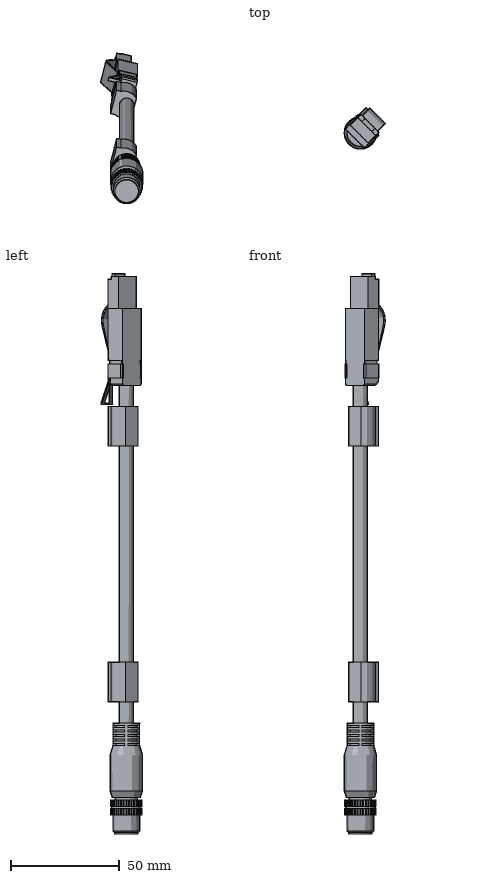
import cadquery as cq

LATCH_DIRECTION = 45.0

CABLE_RADIUS = 3.4
CABLE_BOTTOM = 2.5
CABLE_TOP = 219.5

BODY_RADIUS = 7.5
BODY_BOTTOM = 20.0
BODY_TOP = 36.5
BODY_LOWER_RADIUS = 6.5
NECK_RADIUS = 5.2
NECK_TOP = 16.8
RING_RADIUS = 7.2
RING_BOTTOM = 8.8
RING_TOP = 15.7
RING_GROOVE_WIDTH = 0.8
KNURL_DEPTH = 0.4
KNURL_COUNT = 36
TUBE_RADIUS = 6.2
TUBE_BOTTOM = 1.5
TIP_RADIUS = 5.5

RELIEF_BOTTOM = 40.8
RELIEF_TOP = 51.0
RELIEF_RADIUS = 6.2
RELIEF_CORE_RADIUS = 5.0
RIDGE_COUNT = 5
RIDGE_HEIGHT = 1.0
STRIP_WIDTH = 1.5

SLEEVE_LENGTH = 18.3
SLEEVE_BOTTOMS = (61.0, 178.5)
SLEEVE_FRONT = -3.5
SLEEVE_BACK = 6.2
SLEEVE_HALF_WIDTH = 5.7
SLEEVE_FACE_HALF_WIDTH = 4.1
SLEEVE_FLANK_START = 4.1
SLEEVE_BULGE_PLACE = -1.5
SLEEVE_BULGE_HALF_WIDTH = 5.7

HOUSING_FRONT = -3.5
HOUSING_BACK = 5.7
HOUSING_WIDTH = 12.5
HOUSING_BOTTOM = 206.5
HOUSING_TOP = 242.0
BACK_CHAMFER = 2.0
SIDE_CHAMFER = 0.8
GRIP_FRONT = -3.0
GRIP_BACK = 5.2
GRIP_WIDTH = 13.7
FRONT_FACE_WIDTH = 11.0
GRIP_BOTTOM = 210.0
GRIP_TOP = 216.5
GROOVE_HEIGHT = 1.5
GROOVE_DEPTH = 0.5

NOSE_FRONT = -0.8
NOSE_BACK = 6.2
NOSE_WIDTH = 11.5
NOSE_STEP = 4.1
NOSE_BACK_TOP = 255.5
NOSE_FRONT_TOP = 256.8
TONGUE_WIDTH = 6.5
TONGUE_TOP = 258.1

LATCH_WIDTH = 10.0
LATCH_CREST = 11.0
LATCH_CREST_HEIGHT = 237.5
LATCH_SHOULDER = 10.8
LATCH_SHOULDER_HEIGHT = 234.0
LATCH_BOTTOM = 219.2
LATCH_TOP = 244.2
LATCH_THICKNESS = 1.0

HOOK_SIDE = 5.0
HOOK_WIDTH = 1.5
HOOK_INNER = 4.1
HOOK_OUTER = 10.0
HOOK_BOTTOM = 197.7
HOOK_TOP = 209.5
HOOK_LEG = 0.8


def cylinder(radius, bottom, top):
    return cq.Workplane("XY").workplane(offset=bottom).circle(radius).extrude(top - bottom)


def block(front, back, width, bottom, top):
    """Box between two X positions, centred on Y."""
    return cq.Workplane("XY").box(
        back - front, width, top - bottom, centered=(False, True, False)
    ).translate((front, 0, bottom))


def connector_body():
    """Turned core of the M12 connector, from the contact end to the bend relief."""
    outline = [
        (0, 0),
        (TIP_RADIUS, 0),
        (TIP_RADIUS, TUBE_BOTTOM / 2),
        (TUBE_RADIUS, TUBE_BOTTOM),
        (TUBE_RADIUS, RING_BOTTOM),
        (NECK_RADIUS, RING_BOTTOM),
        (NECK_RADIUS, NECK_TOP),
        (BODY_LOWER_RADIUS, NECK_TOP),
        (BODY_RADIUS, BODY_BOTTOM),
        (BODY_RADIUS, BODY_TOP),
        (RELIEF_RADIUS, RELIEF_BOTTOM),
        (0, RELIEF_BOTTOM),
    ]
    return cq.Workplane("XZ").polyline(outline).close().revolve(360, (0, 0, 0), (0, 1, 0))


def knurled_ring():
    ring = cylinder(RING_RADIUS, RING_BOTTOM, RING_TOP)
    notches = (
        cq.Workplane("XY")
        .workplane(offset=RING_BOTTOM)
        .polarArray(RING_RADIUS, 0, 360, KNURL_COUNT)
        .circle(KNURL_DEPTH)
        .extrude(RING_TOP - RING_BOTTOM)
    )
    middle = (RING_BOTTOM + RING_TOP) / 2
    groove = (
        cq.Workplane("XY")
        .workplane(offset=middle - RING_GROOVE_WIDTH / 2)
        .circle(RING_RADIUS + KNURL_DEPTH)
        .circle(RING_RADIUS - KNURL_DEPTH)
        .extrude(RING_GROOVE_WIDTH)
    )
    return ring.cut(notches).cut(groove)


def bend_relief():
    """Core with evenly spaced ridges, tied together by four lengthwise strips."""
    relief = cylinder(RELIEF_CORE_RADIUS, RELIEF_BOTTOM, RELIEF_TOP)
    pitch = (RELIEF_TOP - RELIEF_BOTTOM) / RIDGE_COUNT
    for index in range(RIDGE_COUNT):
        top = RELIEF_TOP - index * pitch
        relief = relief.union(cylinder(RELIEF_RADIUS, top - RIDGE_HEIGHT, top))
    cross = block(-RELIEF_RADIUS, RELIEF_RADIUS, STRIP_WIDTH, RELIEF_BOTTOM, RELIEF_TOP)
    cross = cross.union(cross.rotate((0, 0, 0), (0, 0, 1), 90))
    strips = cross.intersect(cylinder(RELIEF_RADIUS, RELIEF_BOTTOM, RELIEF_TOP))
    return relief.union(strips).rotate((0, 0, 0), (0, 0, 1), -LATCH_DIRECTION)


def sleeve(bottom):
    """Label sleeve: flat front face, rounded flanks and a square back."""
    return (
        cq.Workplane("XY")
        .workplane(offset=bottom)
        .moveTo(SLEEVE_FRONT, -SLEEVE_FACE_HALF_WIDTH)
        .lineTo(SLEEVE_FRONT, SLEEVE_FACE_HALF_WIDTH)
        .threePointArc(
            (SLEEVE_BULGE_PLACE, SLEEVE_BULGE_HALF_WIDTH), (SLEEVE_FLANK_START, SLEEVE_HALF_WIDTH)
        )
        .lineTo(SLEEVE_BACK, SLEEVE_HALF_WIDTH)
        .lineTo(SLEEVE_BACK, -SLEEVE_HALF_WIDTH)
        .lineTo(SLEEVE_FLANK_START, -SLEEVE_HALF_WIDTH)
        .threePointArc(
            (SLEEVE_BULGE_PLACE, -SLEEVE_BULGE_HALF_WIDTH), (SLEEVE_FRONT, -SLEEVE_FACE_HALF_WIDTH)
        )
        .close()
        .extrude(SLEEVE_LENGTH)
    )


def housing():
    """Plug housing with raised side grips and a recessed band just above them."""
    shell = block(HOUSING_FRONT, HOUSING_BACK, HOUSING_WIDTH, HOUSING_BOTTOM, HOUSING_TOP)
    shell = shell.faces("<Z").edges(">X").chamfer(BACK_CHAMFER)
    shell = shell.faces("<Z").edges("|X").chamfer(SIDE_CHAMFER)
    band = block(GRIP_FRONT, HOUSING_BACK, HOUSING_WIDTH, GRIP_BOTTOM, GRIP_TOP + GROOVE_HEIGHT)
    band_core = block(
        GRIP_FRONT,
        HOUSING_BACK - GROOVE_DEPTH,
        HOUSING_WIDTH - 2 * GROOVE_DEPTH,
        GRIP_BOTTOM,
        GRIP_TOP + GROOVE_HEIGHT,
    )
    seats = block(HOUSING_FRONT, GRIP_FRONT, HOUSING_WIDTH, GRIP_BOTTOM, GRIP_TOP).cut(
        block(HOUSING_FRONT, GRIP_FRONT, FRONT_FACE_WIDTH, GRIP_BOTTOM, GRIP_TOP)
    )
    grips = block(GRIP_FRONT, GRIP_BACK, GRIP_WIDTH, GRIP_BOTTOM, GRIP_TOP)
    return shell.cut(band.cut(band_core)).cut(seats).union(grips)


def nose():
    """Plug nose stepped at its end, with the root of the latch as a tongue."""
    back = block(NOSE_FRONT, NOSE_BACK, NOSE_WIDTH, HOUSING_TOP, NOSE_BACK_TOP)
    front = block(NOSE_FRONT, NOSE_STEP, NOSE_WIDTH, HOUSING_TOP, NOSE_FRONT_TOP)
    tongue = block(NOSE_STEP, NOSE_BACK, TONGUE_WIDTH, HOUSING_TOP, TONGUE_TOP)
    return back.union(front).union(tongue)


def latch():
    """Thin lever bowed away from the housing and joined to it at both ends."""

    def bow(inset):
        return (
            cq.Workplane("XZ")
            .moveTo(NOSE_STEP, LATCH_BOTTOM + inset)
            .lineTo(HOUSING_BACK, LATCH_BOTTOM + inset)
            .lineTo(LATCH_SHOULDER - inset, LATCH_SHOULDER_HEIGHT)
            .threePointArc(
                (LATCH_CREST - inset, LATCH_CREST_HEIGHT), (HOUSING_BACK, LATCH_TOP - inset)
            )
            .lineTo(NOSE_STEP, LATCH_TOP - inset)
            .close()
            .extrude(LATCH_WIDTH / 2, both=True)
        )

    return bow(0).cut(bow(LATCH_THICKNESS))


def hook():
    """Slender triangular loop beside the cable."""
    outer = [
        (HOOK_INNER, HOOK_BOTTOM),
        (HOOK_OUTER, HOOK_BOTTOM),
        (HOOK_OUTER, HOOK_BOTTOM + HOOK_LEG),
        (HOOK_INNER + HOOK_LEG, HOOK_TOP),
        (HOOK_INNER, HOOK_TOP),
    ]
    inner = [
        (HOOK_INNER + HOOK_LEG, HOOK_BOTTOM + HOOK_LEG),
        (HOOK_OUTER - HOOK_LEG, HOOK_BOTTOM + HOOK_LEG),
        (HOOK_INNER + HOOK_LEG, HOOK_TOP - 2 * HOOK_LEG),
    ]
    loop = cq.Workplane("XZ").polyline(outer).close().polyline(inner).close().extrude(-HOOK_WIDTH)
    return loop.translate((0, HOOK_SIDE, 0))


part = cylinder(CABLE_RADIUS, CABLE_BOTTOM, CABLE_TOP)
part = part.union(connector_body()).union(knurled_ring()).union(bend_relief())
for sleeve_bottom in SLEEVE_BOTTOMS:
    part = part.union(sleeve(sleeve_bottom))
part = part.union(housing()).union(nose()).union(latch()).union(hook())

result = part.rotate((0, 0, 0), (0, 0, 1), LATCH_DIRECTION)